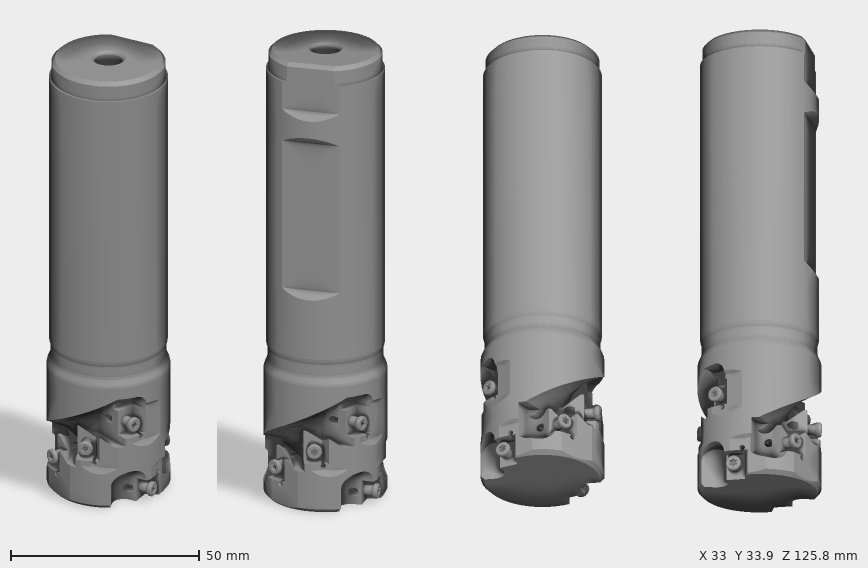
import cadquery as cq
import math

length = 125.8
shank_radius = 15.9
pilot_radius = 15.2
pilot_bottom = 120.5
end_chamfer = 1.0
neck_radius = 15.5
neck_top = 41.8
neck_bottom = 38.4
neck_fillet = 1.8
shank_bottom = 42.5
shank_bevel_top = 43.3
shank_end_radius = 15.7
head_radius = 16.5
head_top = 36.1
tip_chamfer = 1.1

flat_offset = 13.7
flat_bottom = 62.0
lug_bottom = 103.7
lug_top = 112.7

bore_radius = 3.8
bore_mouth_radius = 4.5
bore_bottom = 5.0
bore_tip_depth = 2.1
coolant_radius = 1.1
coolant_end = 2.8
coolant_depth = 9.0
first_coolant_depth = 10.6

row_angles = [0, 180]
seat_angles = [180, 243, 290, 338]
first_seat_height = 3.4
seat_pitch = 6.9
seat_floor = 12.0
seat_half_height = 3.5
seat_inner = 1.5
wall_top = 0.0
chip_face = 6.5
corner_radius = 0.8
corner_offset = 4.2
relief_floor = 15.7
relief_below = 5.2
relief_above = 6.3
top_relief_above = 4.8
first_relief_above = 6.9
relief_flare = 1.8

gullet_radius = 7.5
helix_rise = 0.145
helix_start_angle = 161.0
helix_start = 11.3
gullet_inset = -10.1
helix_top = 34.0
helix_steps = 5
band_span = 110.0
wall_radius = 11.3
wall_span = 45.0
gullet_top = 32.5
slot_outer = 14.1
slot_root = 5.7
slot_heel = 8.0
slot_fillet = 3.1
lower_slot_top = 10.7
second_slot_bottom = 4.3
second_slot_top = 15.7
crown_floor = 10.1
crown_inner = 0.4
crown_outer = 7.8
crown_fillet = 3.1
gullet_step = 2.4
gullet_drop = 5.9
gullet_ramp_offset = 2.5
gullet_above = 5.0

screw_offset = 3.9
screw_start = 8.5
shank_end = 14.1
screw_radius = 1.4
head_start = 15.0
screw_top = 16.0
screw_head_radius = 2.0
screw_bevel = 0.3
socket_radius = 0.9
lobe_radius = 0.3
socket_lobes = 6
socket_depth = 1.0

clearance = 1.3
small_gap = 0.1
reach = 20.1

seats = [(angle, first_seat_height + i * seat_pitch) for i, angle in enumerate(seat_angles)]


def turned(shape, angle):
    return shape.rotate((0, 0, 0), (0, 0, 1), angle)


def polar(radius, angle):
    return (radius * math.cos(math.radians(angle)), radius * math.sin(math.radians(angle)))



def block(x0, x1, y0, y1, z0, z1):
    return cq.Workplane("XY").box(x1 - x0, y1 - y0, z1 - z0, centered=False).translate((x0, y0, z0))


def seat_pocket(bottom, top):
    lean = seat_inner - wall_top
    lean_per_depth = lean / (relief_floor - seat_floor)
    outer_wall = -seat_inner + lean_per_depth * (reach - seat_floor)
    section = [
        (seat_floor, -chip_face - clearance),
        (seat_floor, -seat_inner),
        (reach, outer_wall),
        (reach, -chip_face - clearance),
    ]
    return cq.Workplane("XY", origin=(0, 0, bottom)).polyline(section).close().extrude(top - bottom)


def relief_flat(bottom, top):
    """Flat behind the seat, with sloping ends that run out on the head."""
    flare_run = head_radius - relief_floor
    profile = [
        (relief_floor, bottom),
        (head_radius + flare_run, bottom - 2 * relief_flare),
        (head_radius + flare_run, top + relief_flare),
        (relief_floor, top),
    ]
    width = 2 * chip_face
    return cq.Workplane("XZ", origin=(0, chip_face, 0)).polyline(profile).close().extrude(width)


def corner_relief(height):
    return cq.Workplane("YZ", origin=(seat_floor, -seat_inner, height)).circle(corner_radius).extrude(reach)


def coolant_hole(height, depth):
    """Hole from the chip face into the side of the bore."""
    start = cq.Vector(depth, -chip_face - clearance / 2, height)
    direction = cq.Vector(0, 0, height) - start
    hole_length = direction.Length - coolant_end
    return cq.Workplane(cq.Solid.makeCylinder(coolant_radius, hole_length, start, direction))


def screw_hole(height):
    hole_length = reach - screw_start
    return (
        cq.Workplane("YZ", origin=(screw_start, -screw_offset, height))
        .circle(screw_radius)
        .extrude(hole_length)
    )


def gullet_slot(bottom, top, round_end):
    """Upright slot in front of a seat, with a half-round end at its top or bottom."""
    section = [(reach, -chip_face), (slot_root, -chip_face), (slot_heel, -slot_outer), (reach, -slot_outer)]
    channel = (
        cq.Workplane("XY", origin=(0, 0, bottom))
        .polyline(section).close().extrude(top - bottom)
        .edges(cq.selectors.NearestToPointSelector((slot_root, -chip_face, (top + bottom) / 2)))
        .fillet(slot_fillet)
    )
    end = ">Z" if round_end == "top" else "<Z"
    radius = (slot_outer - chip_face - small_gap) / 2
    window = block(0, reach, -slot_outer, -chip_face, bottom, top).edges("|X").edges(end).fillet(radius)
    return channel.intersect(window)


def band_section(height):
    """Sector in plan whose trailing side is a hollow wall down to the gullet floor."""
    start = helix_start_angle + (height - helix_start) / helix_rise
    end = start + band_span
    return (
        cq.Workplane("XY", origin=(0, 0, height))
        .moveTo(*polar(reach, start))
        .lineTo(*polar(head_radius, start))
        .threePointArc(polar(wall_radius, start + wall_span / 4), polar(gullet_radius, start + wall_span))
        .threePointArc(polar(gullet_radius, (start + wall_span + end) / 2), polar(gullet_radius, end))
        .lineTo(*polar(reach, end))
        .threePointArc(polar(reach, (start + end) / 2), polar(reach, start))
        .close()
        .val()
    )


def helical_band():
    """Sections turning as they rise, joined into one helical channel."""
    step = (helix_top - helix_start) / helix_steps
    sections = [band_section(helix_start + i * step) for i in range(helix_steps + 1)]
    return cq.Workplane(cq.Solid.makeLoft(sections))


def gullet_level(height, top):
    """Space in front of one chip face, with a step and a 45 degree ramp at its foot."""
    ramp = gullet_drop - gullet_step
    ramp_start = chip_face + gullet_ramp_offset
    outline = [
        (-chip_face, height - gullet_drop),
        (-ramp_start, height - gullet_drop),
        (-ramp_start - ramp, height - gullet_step),
        (-reach, height - gullet_step),
        (-reach, top),
        (-chip_face, top),
    ]
    depth = reach - gullet_inset
    return cq.Workplane("YZ", origin=(gullet_inset, 0, 0)).polyline(outline).close().extrude(depth)


def crown(bottom):
    """Round-cornered opening above the topmost seat, where the gullet ends."""
    opening = block(crown_floor, reach, -crown_outer, -crown_inner, bottom, gullet_top)
    return opening.edges("|X").edges(">Z and >Y").fillet(crown_fillet)


def row_tools():
    """Everything cut from the head for one row of four seats."""
    tools = []
    last = len(seats) - 1
    band = helical_band()
    for i, (angle, height) in enumerate(seats):
        foot = -clearance if i == 0 else height - seat_half_height
        relief_foot = -clearance if i < 2 else height - relief_below
        opens_above = 0 < i < last
        seat_top = height + (seat_pitch - gullet_step if opens_above else seat_half_height)
        relief_top = height + relief_above
        if i == 0:
            relief_top = height + first_relief_above
        if i == last:
            relief_top = height + top_relief_above
        corner = height + (corner_offset if i == 0 else -corner_offset)
        placed = [
            seat_pocket(foot, seat_top),
            relief_flat(relief_foot, relief_top),
            corner_relief(corner),
            coolant_hole(height, first_coolant_depth if i == 0 else coolant_depth),
            screw_hole(height),
        ]
        if i == 0:
            placed.append(gullet_slot(-clearance, lower_slot_top, "top"))
        if i == 1:
            placed.append(gullet_slot(second_slot_bottom, second_slot_top, "bottom"))
        if i == last:
            placed.append(crown(height + seat_half_height))
        tools += [turned(tool, angle) for tool in placed]
        if i >= 2:
            top = gullet_top if i == last else height + gullet_above
            tools.append(turned(gullet_level(height, top), angle).intersect(band))
    return tools


def turned_blank():
    profile = [
        (0, 0),
        (head_radius - tip_chamfer, 0),
        (head_radius, tip_chamfer),
        (head_radius, head_top),
        (neck_radius, neck_bottom),
        (neck_radius, neck_top),
        (shank_end_radius, shank_bottom),
        (shank_radius, shank_bevel_top),
        (shank_radius, pilot_bottom),
        (pilot_radius, pilot_bottom),
        (pilot_radius, length),
        (0, length),
    ]
    blank = cq.Workplane("XZ").polyline(profile).close().revolve(360, (0, 0), (0, 1))
    low_corner = (-reach, -reach, head_top - small_gap)
    high_corner = (reach, reach, neck_bottom + small_gap)
    shoulder = cq.selectors.BoxSelector(low_corner, high_corner)
    return blank.edges(shoulder).edges("%CIRCLE").fillet(neck_fillet)


def clamping_flats():
    rise = reach - flat_offset
    upper = [(flat_offset, lug_top), (reach, lug_top - rise), (reach, length), (flat_offset, length)]
    lower = [
        (flat_offset, flat_bottom),
        (reach, flat_bottom - rise),
        (reach, lug_bottom + rise),
        (flat_offset, lug_bottom),
    ]
    return [
        cq.Workplane("YZ", origin=(-reach, 0, 0)).polyline(points).close().extrude(2 * reach)
        for points in (upper, lower)
    ]


def coolant_bore():
    mouth = bore_mouth_radius - bore_radius
    profile = [
        (0, bore_bottom - bore_tip_depth),
        (bore_radius, bore_bottom),
        (bore_radius, length - mouth),
        (bore_mouth_radius, length),
        (0, length),
    ]
    return cq.Workplane("XZ").polyline(profile).close().revolve(360, (0, 0), (0, 1))


def cutter_body():
    body = turned_blank()
    for cut in clamping_flats():
        body = body.cut(cut)
    body = body.faces(">Z").chamfer(end_chamfer)
    body = body.cut(coolant_bore())
    tools = row_tools()
    for row in row_angles:
        for tool in tools:
            body = body.cut(turned(tool, row))
    return body


def clamping_screw(height):
    profile = [
        (0, screw_start),
        (screw_radius, screw_start),
        (screw_radius, shank_end),
        (screw_head_radius, head_start),
        (screw_head_radius, screw_top - screw_bevel),
        (screw_head_radius - screw_bevel, screw_top),
        (0, screw_top),
    ]
    screw = cq.Workplane("XZ").polyline(profile).close().revolve(360, (0, 0), (0, 1))
    socket = cq.Workplane("XY", origin=(0, 0, screw_top - socket_depth))
    screw = screw.cut(socket.circle(socket_radius).extrude(socket_depth))
    lobes = socket.polarArray(socket_radius, 0, 360, socket_lobes).circle(lobe_radius)
    screw = screw.cut(lobes.extrude(socket_depth))
    return screw.rotate((0, 0, 0), (0, 1, 0), 90).translate((0, -screw_offset, height))


body = cutter_body()
screws = [turned(clamping_screw(height), row + angle) for row in row_angles for angle, height in seats]

result = cq.Compound.makeCompound([body.val(), *[screw.val() for screw in screws]])